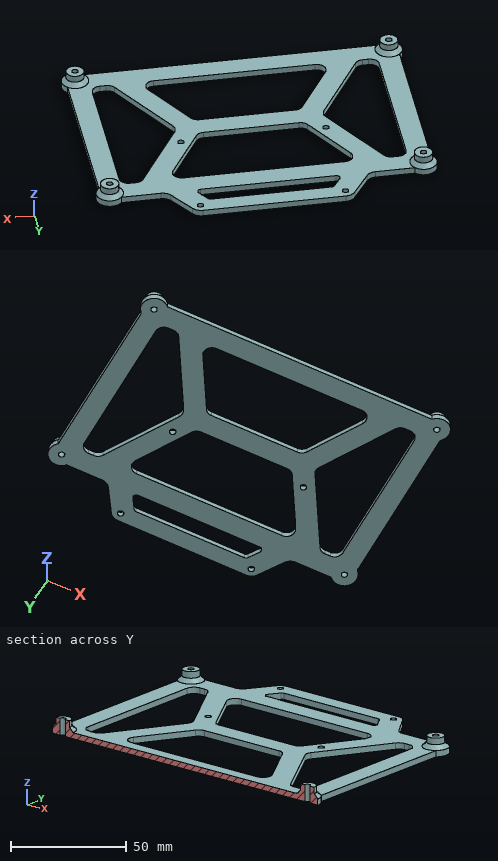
import cadquery as cq
import math

POST_SPACING_X = 138.5
POST_SPACING_Y = 87.0
POST_EDGE_INSET = 4.0
PLATE_THICKNESS = 3.0
PLATE_HALF_X = POST_SPACING_X / 2 + POST_EDGE_INSET
PLATE_HALF_Y = POST_SPACING_Y / 2 + POST_EDGE_INSET

POST_BASE_RADIUS = 6.0
POST_STEM_RADIUS = 4.0
POST_CONE_TOP = PLATE_THICKNESS + POST_BASE_RADIUS - POST_STEM_RADIUS
POST_TOP = 8.0
POST_HOLE_DIAMETER = 2.7

RAIL_WIDTH = 10.0
WINDOW_HALF_X = PLATE_HALF_X - RAIL_WIDTH
WINDOW_HALF_Y = PLATE_HALF_Y - RAIL_WIDTH
MIDDLE_BAR_WIDTH = 10.0
STRUT_WIDTH = 10.0
STRUT_ANGLE = math.radians(30.7)
STRUT_CENTRE_X = 26.25
WINDOW_CORNER_RADIUS = 4.0

TAB_DEPTH = 16.0
TAB_TOP_HALF_X = 34.3
TAB_BASE_HALF_X = 44.7
TAB_CORNER_RADIUS = 5.0
TAB_TOP_Y = PLATE_HALF_Y + TAB_DEPTH
SLOT_WIDTH = 8.0
SLOT_BASE_HALF_X = 32.6
SLOT_CORNER_RADIUS = 1.5

MOUNT_SPACING_X = 64.0
MOUNT_SPACING_Y = 49.0
MOUNT_TOP_INSET = 4.0
MOUNT_HOLE_DIAMETER = 2.7


def prism(points):
    """Closed polygon extruded from Z = 0 to the top of the plate."""
    return cq.Workplane("XY").polyline(points).close().extrude(PLATE_THICKNESS)


def trapezoid(base_half_x, base_y, top_half_x, top_y):
    """Prism with a trapezoidal outline, symmetric about the Y axis."""
    return prism([
        (-base_half_x, base_y),
        (base_half_x, base_y),
        (top_half_x, top_y),
        (-top_half_x, top_y),
    ])


def strut_edge_x(y, side):
    """X of a +X strut's edge at distance y from the X axis; side is +1 for outer, -1 for inner."""
    half_width_x = STRUT_WIDTH / 2 / math.cos(STRUT_ANGLE)
    return STRUT_CENTRE_X + side * half_width_x + y * math.tan(STRUT_ANGLE)


def middle_window():
    """Window between the +Y rail and the middle bar."""
    bar_y = MIDDLE_BAR_WIDTH / 2
    window = trapezoid(strut_edge_x(bar_y, -1), bar_y, strut_edge_x(WINDOW_HALF_Y, -1), WINDOW_HALF_Y)
    return window.edges("|Z").fillet(WINDOW_CORNER_RADIUS)


def side_window():
    """Window between the +X rail and the struts."""
    outer_corner_x = strut_edge_x(WINDOW_HALF_Y, 1)
    window = prism([
        (strut_edge_x(0, 1), 0),
        (outer_corner_x, -WINDOW_HALF_Y),
        (WINDOW_HALF_X, -WINDOW_HALF_Y),
        (WINDOW_HALF_X, WINDOW_HALF_Y),
        (outer_corner_x, WINDOW_HALF_Y),
    ])
    return window.edges("|Z").fillet(WINDOW_CORNER_RADIUS)


def tab_slot():
    """Slot whose ends run parallel to the sloping sides of the tab."""
    end_slope = (TAB_BASE_HALF_X - TAB_TOP_HALF_X) / TAB_DEPTH
    top_half_x = SLOT_BASE_HALF_X - SLOT_WIDTH * end_slope
    slot = trapezoid(SLOT_BASE_HALF_X, PLATE_HALF_Y, top_half_x, PLATE_HALF_Y + SLOT_WIDTH)
    return slot.edges("|Z").fillet(SLOT_CORNER_RADIUS)


def plate():
    """Frame plate with its tab, two pairs of mirrored windows and the slot."""
    body = prism([
        (-PLATE_HALF_X, -PLATE_HALF_Y),
        (PLATE_HALF_X, -PLATE_HALF_Y),
        (PLATE_HALF_X, PLATE_HALF_Y),
        (TAB_BASE_HALF_X, PLATE_HALF_Y),
        (TAB_TOP_HALF_X, TAB_TOP_Y),
        (-TAB_TOP_HALF_X, TAB_TOP_Y),
        (-TAB_BASE_HALF_X, PLATE_HALF_Y),
        (-PLATE_HALF_X, PLATE_HALF_Y),
    ])
    margin = 1.0
    tab_corners = cq.selectors.BoxSelector(
        (-TAB_BASE_HALF_X - margin, PLATE_HALF_Y - margin, -margin),
        (TAB_BASE_HALF_X + margin, TAB_TOP_Y + margin, PLATE_THICKNESS + margin),
    )
    body = body.edges("|Z").edges(tab_corners).fillet(TAB_CORNER_RADIUS)
    for window, mirror_plane in ((middle_window(), "XZ"), (side_window(), "YZ")):
        body = body.cut(window).cut(window.mirror(mirror_plane))
    return body.cut(tab_slot())


def post():
    """Round post on the Z axis: base, cone and stem."""
    return (
        cq.Workplane("XZ")
        .moveTo(0, 0)
        .lineTo(POST_BASE_RADIUS, 0)
        .lineTo(POST_BASE_RADIUS, PLATE_THICKNESS)
        .lineTo(POST_STEM_RADIUS, POST_CONE_TOP)
        .lineTo(POST_STEM_RADIUS, POST_TOP)
        .lineTo(0, POST_TOP)
        .close()
        .revolve(360, (0, 0), (0, 1))
    )


def through_holes(points, diameter):
    """Cylinders through the full height at the given points."""
    return cq.Workplane("XY").pushPoints(points).circle(diameter / 2).extrude(POST_TOP)


post_points = [
    (side_x * POST_SPACING_X / 2, side_y * POST_SPACING_Y / 2)
    for side_x in (-1, 1)
    for side_y in (-1, 1)
]
mount_top_y = TAB_TOP_Y - MOUNT_TOP_INSET
mount_points = [
    (side_x * MOUNT_SPACING_X / 2, y)
    for side_x in (-1, 1)
    for y in (mount_top_y, mount_top_y - MOUNT_SPACING_Y)
]

result = plate()
for x, y in post_points:
    result = result.union(post().translate((x, y, 0)))
result = result.cut(through_holes(post_points, POST_HOLE_DIAMETER))
result = result.cut(through_holes(mount_points, MOUNT_HOLE_DIAMETER))